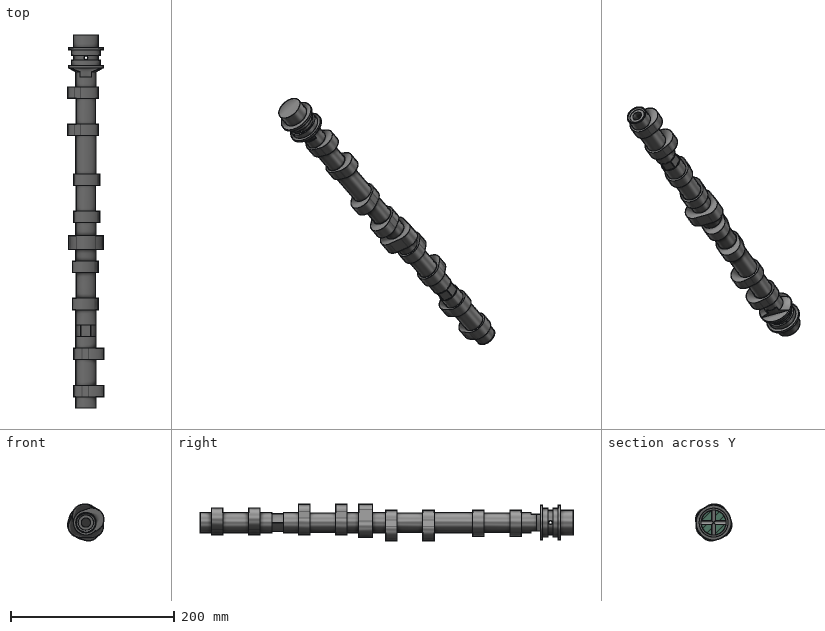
import cadquery as cq
import math


shaft_length = 457.78
shaft_radius = 12.5
relief_radius = 12.0
relieved_pair_count = 3

drive_journal_radius = 15.3
drive_journal_length = 15.8
flange_radius = 21.35
flange_width = 2.8
seal_land_radius = 17.7
seal_land_width = 6.6
oil_groove_radius = 15.3
oil_groove_width = 5.8
cone_length = 5.0
oil_hole_diameter = 4.2

flat_half_height = 10.4
flat_end_y = 406.0

hexagon_sides = 6
hexagon_across_flats = 22.0
hexagon_center_y = 95.0
hexagon_width = 14.0

countersink_radius = 11.5
countersink_depth = 1.5
recess_floor_radius = 9.4
bore_radius = 5.7
bore_depth = 30.0

lobe_width = 14.2
base_radius = 15.2
nose_radius = 14.3
nose_offset = 8.7
first_lobe_y = 20.9
lobe_spacing = 45.6
cylinder_spacing = 106.8
nose_angles = [25.3, 105.0, 289.0, 199.0]

pump_center_y = 203.0
pump_lobe_width = 17.0
pump_corner_radius = 13.31
pump_corner_offset = 9.5
pump_corner_count = 3
pump_corner_angle = 90.0


def polar(radius, angle):
    """Point in the cross-section at an angle in degrees from +X towards +Z."""
    return (radius * math.cos(math.radians(angle)), radius * math.sin(math.radians(angle)))


def offset_point(center, radius, angle):
    """Point at the given radius and angle around a center in the cross-section."""
    dx, dz = polar(radius, angle)
    return (center[0] + dx, center[1] + dz)


def section_plane(y):
    """Cross-section plane with local x = X and local y = Z; extrusion goes towards -Y."""
    return cq.Workplane("XZ", origin=(0, y, 0))



journal_front_y = shaft_length - drive_journal_length
rear_flange_front_y = journal_front_y - flange_width
groove_rear_y = rear_flange_front_y - seal_land_width
groove_front_y = groove_rear_y - oil_groove_width
front_flange_rear_y = groove_front_y - seal_land_width
front_flange_front_y = front_flange_rear_y - flange_width
cone_front_y = front_flange_front_y - cone_length


def turned_blank():
    """Revolved shaft profile, listed as (radius, Y) steps from the front end."""
    profile = [
        (0, 0),
        (shaft_radius, 0),
        (shaft_radius, cone_front_y),
        (flange_radius, front_flange_front_y),
        (flange_radius, front_flange_rear_y),
        (seal_land_radius, front_flange_rear_y),
        (seal_land_radius, groove_front_y),
        (oil_groove_radius, groove_front_y),
        (oil_groove_radius, groove_rear_y),
        (seal_land_radius, groove_rear_y),
        (seal_land_radius, rear_flange_front_y),
        (flange_radius, rear_flange_front_y),
        (flange_radius, journal_front_y),
        (drive_journal_radius, journal_front_y),
        (drive_journal_radius, shaft_length),
        (0, shaft_length),
    ]
    return cq.Workplane("XY").polyline(profile).close().revolve(360, (0, 0, 0), (0, 1, 0))


def wrench_flat_cutter():
    """Two blocks that flatten the top and bottom of the cone and the shaft in front of it."""
    length = front_flange_front_y - flat_end_y
    center_y = (front_flange_front_y + flat_end_y) / 2
    block = cq.Workplane("XY").box(2 * flange_radius, length, flange_radius)
    block_center_z = flat_half_height + flange_radius / 2
    top = block.translate((0, center_y, block_center_z))
    bottom = block.translate((0, center_y, -block_center_z))
    return top.union(bottom)


def hexagon_cutter():
    """Ring around the shaft whose inside is a hexagon with two flats facing +Z and -Z."""
    corner_diameter = hexagon_across_flats / math.cos(math.pi / hexagon_sides)
    return (
        section_plane(hexagon_center_y + hexagon_width / 2)
        .circle(flange_radius)
        .polygon(hexagon_sides, corner_diameter)
        .extrude(hexagon_width)
    )


def front_recess():
    """Conical mouth with a flat floor, and a blind bore in the middle of that floor."""
    profile = [
        (0, 0),
        (countersink_radius, 0),
        (recess_floor_radius, countersink_depth),
        (bore_radius, countersink_depth),
        (bore_radius, bore_depth),
        (0, bore_depth),
    ]
    return cq.Workplane("XY").polyline(profile).close().revolve(360, (0, 0, 0), (0, 1, 0))


def relief_cutter():
    """Shallow grooves between the two lobes of each pair, except the front pair."""
    cutter = cq.Workplane("XY")
    for pair_index in range(len(nose_angles) - relieved_pair_count, len(nose_angles)):
        pair_y = first_lobe_y + pair_index * cylinder_spacing
        start_y = pair_y + lobe_width / 2
        length = lobe_spacing - lobe_width
        ring = section_plane(start_y + length).circle(flange_radius).circle(relief_radius)
        cutter = cutter.add(ring.extrude(length))
    return cutter.combine()


def oil_holes():
    """Two crossing holes through the oil groove, along X and along Z."""
    center_y = (groove_front_y + groove_rear_y) / 2
    holes = []
    for plane in ("XY", "YZ"):
        section = cq.Workplane(plane, origin=(0, center_y, 0)).circle(oil_hole_diameter / 2)
        holes.append(section.extrude(flange_radius, both=True))
    return holes[0].union(holes[1])


shaft = (
    turned_blank()
    .cut(wrench_flat_cutter())
    .cut(hexagon_cutter())
    .cut(relief_cutter())
    .cut(front_recess())
    .cut(oil_holes())
)


def shaft_bore(center_y, width):
    """Cylinder that bores a lobe of the given width to the shaft diameter."""
    return section_plane(center_y + width / 2).circle(shaft_radius).extrude(width)




def cam_lobe(center_y, nose_angle):
    """Lobe whose nose points along nose_angle, bored to sit on the shaft."""
    flank_angle = math.degrees(math.acos((base_radius - nose_radius) / nose_offset))
    left = nose_angle + flank_angle
    right = nose_angle - flank_angle
    nose_center = polar(nose_offset, nose_angle)
    blank = (
        section_plane(center_y + lobe_width / 2)
        .moveTo(*polar(base_radius, left))
        .threePointArc(polar(base_radius, nose_angle + 180), polar(base_radius, right))
        .lineTo(*offset_point(nose_center, nose_radius, right))
        .threePointArc(
            offset_point(nose_center, nose_radius, nose_angle),
            offset_point(nose_center, nose_radius, left),
        )
        .close()
        .extrude(lobe_width)
    )
    return blank.cut(shaft_bore(center_y, lobe_width))


cam_lobes = []
for cylinder_index, nose_angle in enumerate(nose_angles):
    pair_y = first_lobe_y + cylinder_index * cylinder_spacing
    for lobe_y in (pair_y, pair_y + lobe_spacing):
        cam_lobes.append(cam_lobe(lobe_y, nose_angle))




def make_pump_lobe():
    """Three-cornered lobe: round corners joined by flats tangent to them."""
    step = 360 / pump_corner_count
    outline = None
    for corner in range(pump_corner_count):
        angle = pump_corner_angle + corner * step
        center = polar(pump_corner_offset, angle)
        start = offset_point(center, pump_corner_radius, angle - step / 2)
        middle = offset_point(center, pump_corner_radius, angle)
        end = offset_point(center, pump_corner_radius, angle + step / 2)
        if outline is None:
            outline = section_plane(pump_center_y + pump_lobe_width / 2).moveTo(*start)
        else:
            outline = outline.lineTo(*start)
        outline = outline.threePointArc(middle, end)
    blank = outline.close().extrude(pump_lobe_width)
    return blank.cut(shaft_bore(pump_center_y, pump_lobe_width))


pump_lobe = make_pump_lobe()

result = cq.Compound.makeCompound(
    [shaft.val(), *[lobe.val() for lobe in cam_lobes], pump_lobe.val()]
)